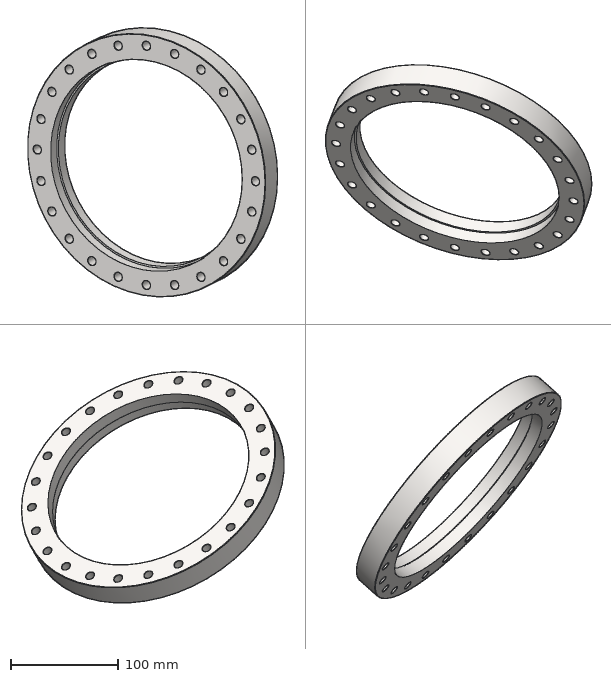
import cadquery as cq

outer_diameter = 253.2
thickness = 24.5
edge_chamfer = 0.5

bore_diameter = 200.0
recess_diameter = 203.5
recess_depth = 12.0

bolt_count = 24
bolt_circle_diameter = 232.0
bolt_hole_diameter = 8.4
bolt_hole_chamfer = 0.3


def disc(diameter, length):
    """Cylinder about the Y axis, running from the front face towards the back."""
    return cq.Workplane("XZ").circle(diameter / 2).extrude(-length)


def bolt_hole():
    """Cutter for one bolt hole, widened by a chamfer at both faces."""
    hole_radius = bolt_hole_diameter / 2
    mouth_radius = hole_radius + bolt_hole_chamfer
    half_profile = [
        (0, 0),
        (mouth_radius, 0),
        (hole_radius, bolt_hole_chamfer),
        (hole_radius, thickness - bolt_hole_chamfer),
        (mouth_radius, thickness),
        (0, thickness),
    ]
    return cq.Workplane("XY").polyline(half_profile).close().revolve(360, (0, 0), (0, 1))


blank = disc(outer_diameter, thickness).faces("<Y or >Y").edges().chamfer(edge_chamfer)

stepped_bore = disc(bore_diameter, thickness).union(disc(recess_diameter, recess_depth))

result = blank.cut(stepped_bore)

hole_at_circle = bolt_hole().translate((bolt_circle_diameter / 2, 0, 0))
for index in range(bolt_count):
    angle = index * 360 / bolt_count
    result = result.cut(hole_at_circle.rotate((0, 0, 0), (0, 1, 0), angle))